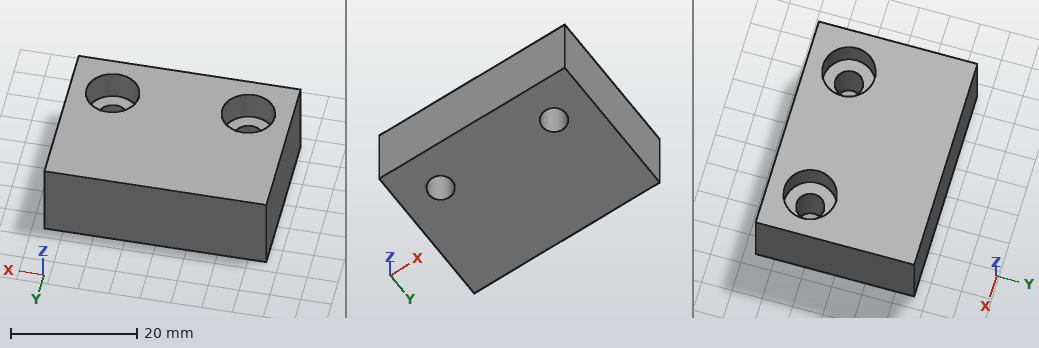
import cadquery as cq

length = 36.0
width = 26.2
height = 13.0

hole_diameter = 4.5
counterbore_diameter = 8.5
counterbore_depth = 5.0
edge_distance = 7.0

hole_x = length / 2 - edge_distance
hole_y = -width / 2 + edge_distance


def make_block():
    """Plain rectangular block centred on X and Y, standing on Z = 0."""
    return cq.Workplane("XY").box(length, width, height, centered=(True, True, False))


def cut_screw_holes(body):
    """Two through holes along the front edge, counterbored from the top face."""
    return (
        body.faces(">Z")
        .workplane(origin=(0, 0, height))
        .pushPoints([(-hole_x, hole_y), (hole_x, hole_y)])
        .cboreHole(hole_diameter, counterbore_diameter, counterbore_depth)
    )


result = cut_screw_holes(make_block())